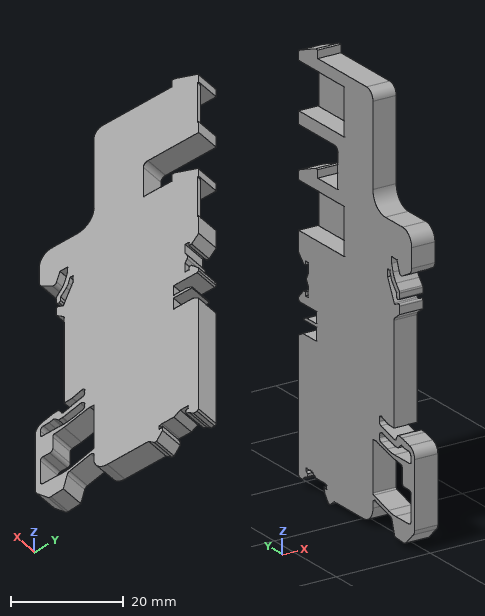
import cadquery as cq
import math


thickness = 5.0
depth = 37.4
height = 86.0

column_y = 13.4
waist_y = 6.6
lobe_y = 0.95
bottom_z = 1.0
waist_bottom_z = 21.8

head_count = 2
head_pitch = 22.95
head_shoulder_z = 84.3
head_tooth_y = 31.2
head_tooth_flat = 0.7
head_tooth_foot_z = 83.8
gap_floor_y = 24.8
gap_top_z = 69.55
lobe_top_z = head_shoulder_z - head_pitch

pocket_y = 22.7
pocket_top_z = 81.85
pocket_height = 9.6
pocket_depth = 4.1
pocket_wall_inset = 0.3

detent_z = 40.75
detent_mouth = 4.2
detent_lip = 2.6
detent_slot = 3.35
detent_bump = 1.2
detent_lip_y = 35.8
detent_lip_root_y = 35.2
detent_floor_y = 34.3
detent_bump_y = 35.0

slot_floor_y = 31.6
slot_bottom_z = 29.9
slot_top_z = 35.6
tongue_bottom_z = 32.6
tongue_top_z = 33.3
tongue_shoulder_y = 34.7
tongue_tip_y = 35.85
tongue_tip_z = 32.8

mouth_top_z = 54.5
spring_face_y = 4.8

foot_inner_y = 1.2
foot_step_y = 4.0
foot_step_z = 11.6
foot_floor_z = 5.1
foot_slot_floor_z = 16.8
web_bend = 8.6


def rounded_plate(corners):
    """Extrude a closed polygon along X, rounding each corner that carries a radius."""
    stretches = []
    for index, corner in enumerate(corners):
        y, z = corner[:2]
        radius = corner[2] if len(corner) > 2 else 0
        if radius == 0:
            stretches.append([(y, z)])
            continue
        previous = corners[index - 1]
        following = corners[(index + 1) % len(corners)]
        angle_in = math.atan2(previous[1] - z, previous[0] - y)
        angle_out = math.atan2(following[1] - z, following[0] - y)
        half_turn = math.remainder(angle_out - angle_in, 2 * math.pi) / 2
        bisector = angle_in + half_turn
        half_angle = abs(half_turn)
        tangent = radius / math.tan(half_angle)
        to_middle = radius / math.sin(half_angle) - radius
        stretches.append([
            (y + reach * math.cos(angle), z + reach * math.sin(angle))
            for reach, angle in ((tangent, angle_in), (to_middle, bisector), (tangent, angle_out))
        ])

    sketch = cq.Workplane("YZ").moveTo(*stretches[0][-1])
    for stretch in stretches[1:] + stretches[:1]:
        sketch = sketch.lineTo(*stretch[0])
        if len(stretch) > 1:
            sketch = sketch.threePointArc(*stretch[1:])
    return sketch.close().extrude(thickness)


def bottom_edge():
    """Underside from the column corner to the plug side, with a latch recess between two teeth."""
    front_tooth = [(26.0, bottom_z), (27.25, 0), (27.8, 0), (29.15, 1.8), (29.15, 2.8), (28.9, 2.8), (28.7, 2.6)]
    recess = [(28.4, 2.6), (28.4, 3.35), (29.1, 3.5), (31.7, 3.5), (33.2, 4.4), (35.0, 4.4)]
    back_tooth = [(35.0, 3.8), (34.4, 3.5), (34.5, 2.8), (35.25, 2.6), (36.2, 1.8), (37.05, 1.8), (depth, 2.15)]
    return [(column_y, bottom_z, 3.1)] + front_tooth + recess + back_tooth


def tongue_slots():
    """Two slots from the plug side, split by a pointed tongue."""
    return [
        (depth, 29.15),
        (36.1, slot_bottom_z),
        (slot_floor_y, slot_bottom_z),
        (slot_floor_y, tongue_bottom_z),
        (tongue_tip_y, tongue_bottom_z),
        (tongue_tip_y, tongue_tip_z),
        (tongue_shoulder_y, tongue_top_z),
        (slot_floor_y, tongue_top_z),
        (slot_floor_y, slot_top_z),
        (37.05, slot_top_z),
        (depth, 35.85),
    ]


def detent_recess():
    """Undercut recess with a rounded bump in the middle of its floor."""
    lower_half = [
        (depth, -detent_mouth),
        (detent_lip_y, -detent_lip),
        (detent_lip_root_y, -detent_lip),
        (detent_lip_root_y, -detent_slot),
        (detent_floor_y, -detent_slot),
        (detent_floor_y, -detent_bump),
    ]
    upper_half = [(y, -z) for y, z in reversed(lower_half)]
    offsets = lower_half + [(detent_bump_y, 0, 0.9)] + upper_half
    return [(y, detent_z + z, *radius) for y, z, *radius in offsets]


def head_tooth(level):
    """Sloping top of a plug head with its locking tooth; level counts heads from the top."""
    drop = level * head_pitch
    return [
        (depth, head_tooth_foot_z - drop, 0.35),
        (head_tooth_y + head_tooth_flat, height - drop),
        (head_tooth_y, height - drop),
        (head_tooth_y, head_shoulder_z - drop),
    ]


def head_gap():
    """Gap between the two plug heads."""
    return [(gap_floor_y, lobe_top_z), (gap_floor_y, gap_top_z, 1.0), (depth, gap_top_z)]


def rail_lobe():
    """Rail side from the top of the column down to the fixed hook of the lobe."""
    return [
        (column_y, head_shoulder_z, 2.1),
        (column_y, lobe_top_z, 3.95),
        (lobe_y, lobe_top_z, 2.9),
        (lobe_y, 53.65, 1.4),
        (4.6, 51.6, 0.7),
        (5.7, mouth_top_z),
    ]


def spring_tongue():
    """Curved spring tongue under the fixed hook, with the slot behind it."""
    root = [(7.4, mouth_top_z), (7.4, 53.2), (6.6, 50.7, 5.2)]
    tip = [(spring_face_y, 48.6, 0.5), (spring_face_y, 47.1, 0.35), (5.5, 46.9), (5.85, 47.3)]
    slot = [(5.85, 48.15), (7.5, 50.0, 2.6), (8.0, 51.7), (8.7, 51.7), (8.7, 50.2)]
    nose = [(6.45, 45.65, 0.3), (spring_face_y, 46.4, 0.35), (spring_face_y, 44.3), (waist_y, 42.9, 0.7)]
    return root + tip + slot + nose


def foot_outline():
    """Rail side below the waist: flexing arm, outer wall and toe of the snap-in foot."""
    open_slot = [(waist_y, waist_bottom_z), (8.5, 21.9), (11.35, 22.9, 0.5), (11.35, 21.0, 0.7)]
    arm_top = [(6.2, 19.6, 0.3), (5.4, 20.9, 0.35), (4.1, 20.8), (0, 19.8, 2.15)]
    toe = [(0, 3.9, 1.3), (3.2, 0.8, 0.9), (6.45, 1.0), (7.5, 4.4, 0.9), (column_y, 5.9, 0.5)]
    return open_slot + arm_top + toe


def foot_slot():
    """Narrow opening between the flexing arm and the upper web of the foot."""
    return rounded_plate([
        (11.35, 17.8, 0.8),
        (11.35, 19.8, 0.8),
        (6.3, 18.5, 0.5),
        (5.3, 18.5),
        (4.4, 19.35, 0.35),
        (3.2, 19.1),
        (foot_inner_y, 19.0, 0.8),
        (foot_inner_y, foot_slot_floor_z, 0.4),
        (7.65, foot_slot_floor_z, web_bend),
    ])


def foot_window():
    """Large stepped opening between the column and the outer wall of the foot."""
    return rounded_plate([
        (column_y, 17.3),
        (12.55, 17.4),
        (6.6, 15.9),
        (foot_step_y, 15.6, 0.5),
        (foot_step_y, foot_step_z, 0.7),
        (foot_inner_y, foot_step_z, 0.6),
        (foot_inner_y, foot_floor_z, 0.7),
        (7.3, foot_floor_z, web_bend),
        (column_y, 6.8, 0.35),
    ])


def head_pocket(level):
    """Rectangular side pocket, open to -X and to the plug side."""
    pocket_z = pocket_top_z - pocket_height - level * head_pitch
    pocket = cq.Workplane("XY").box(
        pocket_depth, depth - pocket_y, pocket_height, centered=False
    )
    end_trim = cq.Workplane("XY").box(
        thickness, pocket_wall_inset, pocket_height, centered=False
    ).translate((0, depth - pocket_y - pocket_wall_inset, 0))
    return pocket.union(end_trim).translate((0, pocket_y, pocket_z))


profile = (
    bottom_edge()
    + tongue_slots()
    + detent_recess()
    + head_tooth(1)
    + head_gap()
    + head_tooth(0)
    + rail_lobe()
    + spring_tongue()
    + foot_outline()
)

result = rounded_plate(profile).cut(foot_slot()).cut(foot_window())
for head_level in range(head_count):
    result = result.cut(head_pocket(head_level))